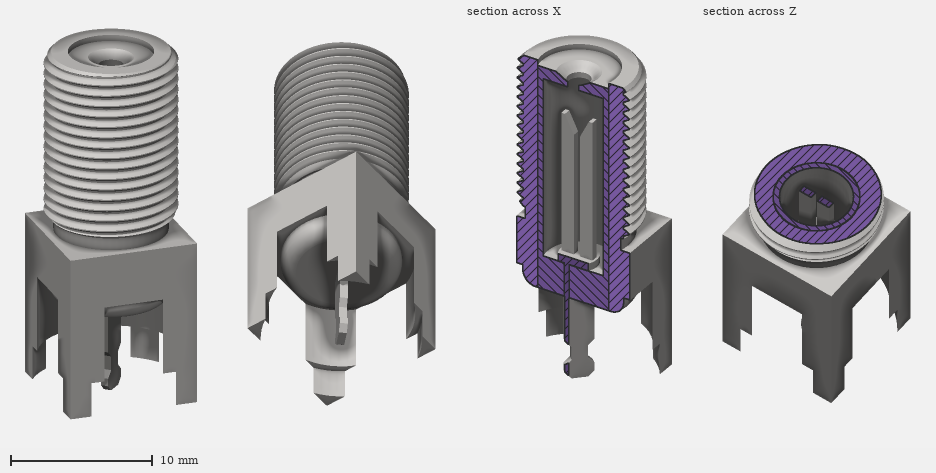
import cadquery as cq
import math


base_width = 9.5
base_top = 12.1
leg_bore_radius = 5.23
leg_bore_top = 8.18
foot_bore_radius = 5.71
foot_height = 2.54

rim_radius = 4.3
rim_bottom = 6.71
rim_rounding = 1.09

neck_radius = 4.085
thread_bottom = 13.05
thread_top = 25.6
thread_radius = 9.525 / 2
thread_pitch = 25.4 / 32
thread_depth = 0.49
thread_root_radius = thread_radius - thread_depth
thread_chamfer = 0.53
flank_angle = math.radians(30)
crest_width = 0.08
ridge_embedding = 0.06
overrun_turns = 1
ridge_turns = math.ceil((thread_top - thread_bottom) / thread_pitch) + 2 * overrun_turns
envelope_clearance = 0.5

insulator_radius = 3.05
insulator_recess = 0.45
insulator_top = thread_top - insulator_recess
entry_radius = 1.62
entry_depth = 0.55
throat_radius = 0.88
throat_bottom_depth = 1.0
chamber_radius = 2.6
chamber_floor = 9.5

sheet_thickness = 0.57
contact_base_radius = 1.5
contact_base_height = 0.6
fork_gap = 0.5
fork_half_width = 1.3
fork_top = 21.5
lead_in_width = 0.75
lead_in_height = 1.5
tail_turn = -45
tail_width = 2.14
tail_neck_width = 1.18
tail_bevel = (tail_width - tail_neck_width) / 2
tail_neck_bottom = 1.53
tail_neck_top = 2.58


def cylinder(radius, bottom, top):
    return cq.Workplane("XY").workplane(offset=bottom).circle(radius).extrude(top - bottom)


def make_thread_ridge():
    """Helical ridge that starts below the thread, ends above it and is rooted inside the core."""
    inner_radius = thread_root_radius - ridge_embedding
    crest_half = crest_width / 2
    inner_half = crest_half + (thread_radius - inner_radius) * math.tan(flank_angle)
    start = thread_bottom - overrun_turns * thread_pitch
    path = cq.Wire.makeHelix(thread_pitch, ridge_turns * thread_pitch, thread_radius)
    path = path.translate(cq.Vector(0, 0, start))
    profile = (
        cq.Workplane("XZ")
        .moveTo(inner_radius, start - inner_half)
        .lineTo(thread_radius, start - crest_half)
        .lineTo(thread_radius, start + crest_half)
        .lineTo(inner_radius, start + inner_half)
        .close()
    )
    return profile.sweep(cq.Workplane(path), isFrenet=True)


def make_thread_envelope():
    """Chamfered blank that clears the crests and trims only the two ends of the thread."""
    end_radius = thread_radius - thread_chamfer
    cone_height = thread_chamfer + envelope_clearance
    profile = (
        cq.Workplane("XZ")
        .moveTo(0, thread_bottom)
        .lineTo(end_radius, thread_bottom)
        .lineTo(end_radius + cone_height, thread_bottom + cone_height)
        .lineTo(end_radius + cone_height, thread_top - cone_height)
        .lineTo(end_radius, thread_top)
        .lineTo(0, thread_top)
        .close()
    )
    return profile.revolve(360, (0, 0, 0), (0, 1, 0))


def make_thread():
    core_overrun = 2 * overrun_turns * thread_pitch
    core_bottom = thread_bottom - core_overrun
    core_top = thread_top + core_overrun
    core = cylinder(thread_root_radius, core_bottom, core_top)
    return core.union(make_thread_ridge()).intersect(make_thread_envelope())


def make_housing():
    base = cq.Workplane("XY").rect(base_width, base_width).extrude(base_top)
    base = base.cut(cylinder(leg_bore_radius, 0, leg_bore_top))
    base = base.cut(cylinder(foot_bore_radius, 0, foot_height))
    rim = cylinder(rim_radius, rim_bottom, leg_bore_top).faces("<Z").edges().fillet(rim_rounding)
    neck = cylinder(neck_radius, base_top, thread_bottom)
    bore = cylinder(insulator_radius, rim_bottom, thread_top)
    return make_thread().union(neck).union(base).union(rim).cut(bore)


def make_tail(top):
    """Flat tail with a narrow neck and a bevelled tip."""
    half = tail_width / 2
    neck = tail_neck_width / 2
    right_side = [
        (neck, 0),
        (half, tail_bevel),
        (half, tail_neck_bottom - tail_bevel),
        (neck, tail_neck_bottom),
        (neck, tail_neck_top),
        (half, tail_neck_top + tail_bevel),
        (half, top),
    ]
    left_side = [(-x, z) for x, z in reversed(right_side)]
    tail = cq.Workplane("XZ").polyline(right_side + left_side).close()
    tail = tail.extrude(sheet_thickness / 2, both=True)
    return tail.rotate((0, 0, 0), (0, 0, 1), tail_turn)


def make_tine(side):
    """One fork tine on the +Y (side = 1) or -Y (side = -1) half, sloped inside its tip."""
    inner = fork_gap / 2
    outline = [
        (side * inner, chamber_floor),
        (side * fork_half_width, chamber_floor),
        (side * fork_half_width, fork_top),
        (side * (inner + lead_in_width), fork_top),
        (side * inner, fork_top - lead_in_height),
    ]
    return cq.Workplane("YZ").polyline(outline).close().extrude(sheet_thickness / 2, both=True)


def make_contact():
    base_level = chamber_floor + contact_base_height
    contact = cylinder(contact_base_radius, chamber_floor, base_level).union(make_tail(base_level))
    for side in (-1, 1):
        contact = contact.union(make_tine(side))
    return contact


def make_insulator(contact):
    throat_top = insulator_top - entry_depth
    chamber_top = insulator_top - throat_bottom_depth
    profile = (
        cq.Workplane("XZ")
        .moveTo(0, rim_bottom)
        .lineTo(insulator_radius, rim_bottom)
        .lineTo(insulator_radius, insulator_top)
        .lineTo(entry_radius, insulator_top)
        .lineTo(throat_radius, throat_top)
        .lineTo(throat_radius, chamber_top)
        .lineTo(chamber_radius, chamber_top)
        .lineTo(chamber_radius, chamber_floor)
        .lineTo(0, chamber_floor)
        .close()
    )
    return profile.revolve(360, (0, 0, 0), (0, 1, 0)).cut(contact)


housing = make_housing()
contact = make_contact()
insulator = make_insulator(contact)

result = cq.Compound.makeCompound([housing.val(), insulator.val(), contact.val()])